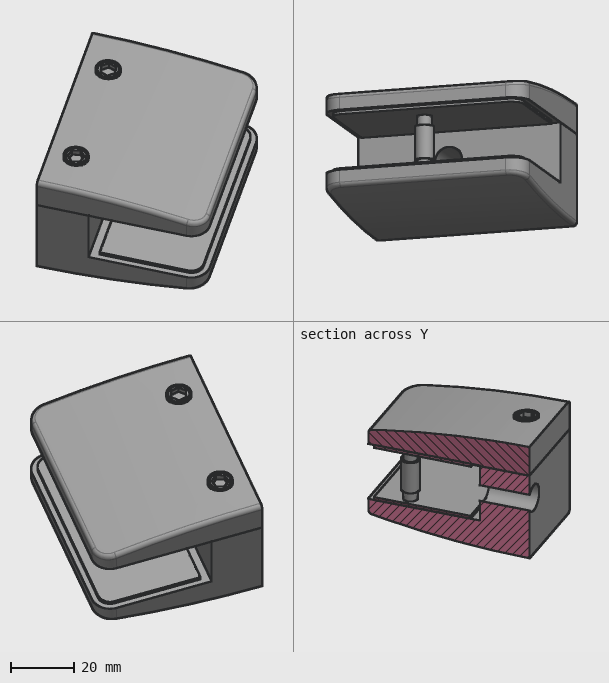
import cadquery as cq
import math

LENGTH = 55.0
WIDTH = 67.0
HEIGHT = 40.0
MID_Z = HEIGHT / 2
CORNER_RADIUS = 6.0
CURVE_RADIUS = 304.2
EDGE_RADIUS = 1.5

SLOT_HEIGHT = 19.5
WALL_THICKNESS = 17.0
SLOT_BOTTOM = MID_Z - SLOT_HEIGHT / 2
SLOT_TOP = MID_Z + SLOT_HEIGHT / 2

PAD_THICKNESS = 1.0
PAD_START = 20.0
PAD_INSET = 2.0
PAD_CORNER_RADIUS = CORNER_RADIUS - PAD_INSET

PIN_X = 42.0
PIN_Y = -3.55
PIN_DIAMETER = 4.7
COLLAR_DIAMETER = 6.0
COLLAR_HEIGHT = 10.85
PIN_LENGTH = SLOT_HEIGHT - 2 * PAD_THICKNESS
WALL_HOLE_DIAMETER = 9.0

SCREW_X = 8.9
SCREW_SPACING = 38.05
SCREW_DIAMETER = 8.05
SCREW_CHAMFER = 0.7
SCREW_DEPTH_IN_BASE = 10.05
SOCKET_CORNERS = 5.35
SOCKET_DEPTH = 2.0
SOCKET_ANGLES = (13.0, 39.0)

SCREW_BOTTOM = SLOT_TOP - SCREW_DEPTH_IN_BASE
SCREW_LENGTH = HEIGHT - SCREW_BOTTOM


def curve_drop(x):
    """Distance that a crowned face has dropped at x."""
    return CURVE_RADIUS - math.sqrt(CURVE_RADIUS**2 - x**2)


def make_jaw():
    """Upper jaw, from the slot's top face to the crowned face, with rounded tip corners."""
    jaw = (
        cq.Workplane("XZ", origin=(0, WIDTH / 2, 0))
        .moveTo(0, SLOT_TOP)
        .lineTo(LENGTH, SLOT_TOP)
        .lineTo(LENGTH, HEIGHT - curve_drop(LENGTH))
        .threePointArc((LENGTH / 2, HEIGHT - curve_drop(LENGTH / 2)), (0, HEIGHT))
        .close()
        .extrude(WIDTH)
        .edges("|Z and >X")
        .fillet(CORNER_RADIUS)
    )
    return jaw.faces(">Z").edges("not <X").fillet(EDGE_RADIUS)


def screw_positions():
    return [(SCREW_X, side * SCREW_SPACING / 2) for side in (-1, 1)]


def screw_holes():
    """Cutters for the screw holes, in line with the screws."""
    return (
        cq.Workplane("XY", origin=(0, 0, SCREW_BOTTOM))
        .pushPoints(screw_positions())
        .circle(SCREW_DIAMETER / 2)
        .extrude(SCREW_LENGTH)
    )


def make_cover():
    return make_jaw().cut(screw_holes())


def make_base():
    """Lower jaw and back wall, with the screw holes and the hole through the wall."""
    lower_jaw = make_jaw().mirror("XY", (0, 0, MID_Z))
    wall = cq.Workplane("XY", origin=(0, 0, SLOT_BOTTOM)).box(
        WALL_THICKNESS, WIDTH, SLOT_HEIGHT, centered=(False, True, False)
    )
    wall_hole = (
        cq.Workplane("YZ", origin=(0, PIN_Y, MID_Z)).circle(WALL_HOLE_DIAMETER / 2).extrude(WALL_THICKNESS)
    )
    return lower_jaw.union(wall).cut(wall_hole).cut(screw_holes())


def make_pad(bottom_z):
    return (
        cq.Workplane("XY", origin=(PAD_START, 0, bottom_z))
        .box(
            LENGTH - PAD_INSET - PAD_START,
            WIDTH - 2 * PAD_INSET,
            PAD_THICKNESS,
            centered=(False, True, False),
        )
        .edges("|Z and >X")
        .fillet(PAD_CORNER_RADIUS)
    )


def make_pin():
    """Pin spanning the pads, with a thicker collar halfway up."""
    shaft = (
        cq.Workplane("XY", origin=(PIN_X, PIN_Y, MID_Z - PIN_LENGTH / 2))
        .circle(PIN_DIAMETER / 2)
        .extrude(PIN_LENGTH)
    )
    collar = (
        cq.Workplane("XY", origin=(PIN_X, PIN_Y, MID_Z - COLLAR_HEIGHT / 2))
        .circle(COLLAR_DIAMETER / 2)
        .extrude(COLLAR_HEIGHT)
    )
    return shaft.union(collar)


def make_screw(x, y, socket_angle):
    """Headless screw with a chamfered top and a hexagon socket."""
    body = (
        cq.Workplane("XY", origin=(x, y, SCREW_BOTTOM))
        .circle(SCREW_DIAMETER / 2)
        .extrude(SCREW_LENGTH)
        .faces(">Z")
        .chamfer(SCREW_CHAMFER)
    )
    socket = (
        cq.Workplane("XY", origin=(x, y, HEIGHT))
        .transformed(rotate=(0, 0, socket_angle))
        .polygon(6, SOCKET_CORNERS)
        .extrude(-SOCKET_DEPTH)
    )
    return body.cut(socket)


base = make_base()
cover = make_cover()
pads = [make_pad(z) for z in (SLOT_BOTTOM, SLOT_TOP - PAD_THICKNESS)]
pin = make_pin()
screws = [make_screw(x, y, angle) for (x, y), angle in zip(screw_positions(), SOCKET_ANGLES)]

result = cq.Compound.makeCompound(
    [base.val(), cover.val(), *[pad.val() for pad in pads], pin.val(), *[screw.val() for screw in screws]]
)